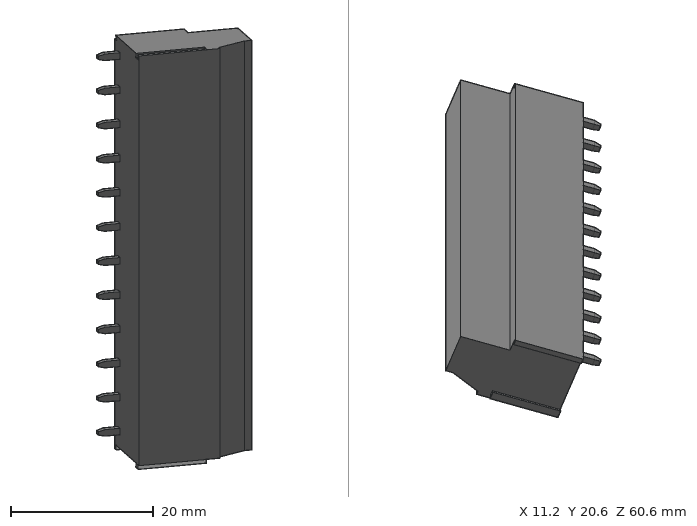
import cadquery as cq

width = 11.2
total_height = 60.65
joint_height = 0.65
body_height = total_height - joint_height
body_depth = 17.4

lower_left_depth = 10.05
upper_left_x = 2.35
upper_right_x = 8.75
slope_back_y = 16.3
ledge_width = 0.55
ledge_y = 11.95

pin_count = 12
pin_pitch = body_height / pin_count
pin_size = 1.0
pin_x = 1.95
pin_length = 3.15
tip_length = 1.0
tip_height = 0.5
tip_inset = 0.2

edge_rail_neck = 0.5
edge_rail_wide = 0.8
rail_x = 10.25
rail_neck = 0.7
rail_wide = 1.2


def make_housing():
    outline = [
        (0, 0),
        (width, 0),
        (width, ledge_y),
        (width - ledge_width, ledge_y),
        (upper_right_x, slope_back_y),
        (upper_right_x, body_depth),
        (upper_left_x, body_depth),
        (upper_left_x, lower_left_depth),
        (0, lower_left_depth),
    ]
    return cq.Workplane("XY").polyline(outline).close().extrude(body_height)


def make_rails(neck_z):
    """Half dovetail at the left edge and full dovetail on the right, hanging down from neck_z."""
    wide_z = neck_z - joint_height
    edge_rail = [
        (0, neck_z),
        (edge_rail_neck, neck_z),
        (edge_rail_wide, wide_z),
        (0, wide_z),
    ]
    full_rail = [
        (rail_x - rail_neck / 2, neck_z),
        (rail_x + rail_neck / 2, neck_z),
        (rail_x + rail_wide / 2, wide_z),
        (rail_x - rail_wide / 2, wide_z),
    ]
    sections = cq.Workplane("XZ").polyline(edge_rail).close().polyline(full_rail).close()
    return sections.extrude(-lower_left_depth)


def make_pin(z):
    """Square pin pointing forward, with a tip that narrows in height and on its left side."""
    shank_length = pin_length - tip_length
    shank = (
        cq.Workplane("XZ")
        .center(pin_x, z)
        .rect(pin_size, pin_size)
        .extrude(shank_length)
    )
    tip = (
        shank.faces("<Y")
        .workplane(origin=(pin_x, -shank_length, z))
        .rect(pin_size, pin_size)
        .workplane(offset=tip_length)
        .center(tip_inset / 2, 0)
        .rect(pin_size - tip_inset, tip_height)
        .loft(combine=False)
    )
    return shank.union(tip)


result = make_housing().cut(make_rails(body_height)).union(make_rails(0))
for index in range(pin_count):
    result = result.union(make_pin((index + 0.5) * pin_pitch))